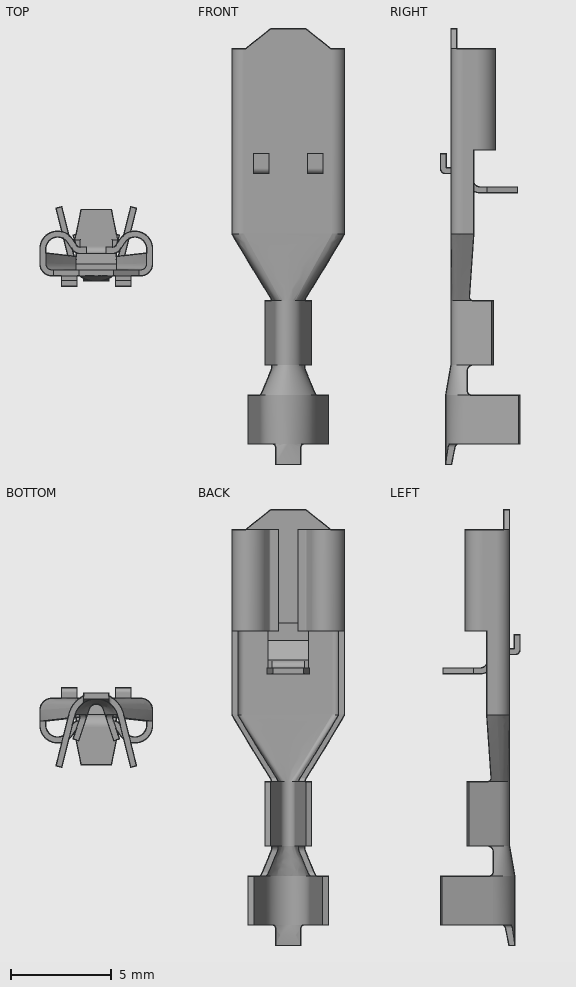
import cadquery as cq
import math


sheet = 0.3

grip_bottom = 1.02
grip_top = 3.43
barrel_bottom = 4.92
barrel_top = 8.12
body_bottom = 11.43
curl_bottom = 15.57
body_top = 20.6
nose_top = 21.6

body_width = 5.6
body_half_width = body_width / 2
body_corner = 0.6
body_wall_top = 1.15
floor_half_width = body_half_width - body_corner
nose_half_base = 2.12
nose_half_tip = 0.86

curl_radius = 0.89
curl_center_y = 1.35
curl_lip_bottom = 1.12
curl_lip_end = 0.48
curl_slope = 56
curl_bend = 0.09

barrel_radius = 0.67
barrel_flare = 18.5
barrel_wing_top = 2.12
barrel_split = 0.37

grip_base = -0.25
grip_radius = 1.4
grip_flare = 14.0
grip_wing_top = 3.43

neck_blank_top = 1.3
front_neck_low = 0.93
front_neck_fillet = 0.17
rear_neck_high = 1.1
rear_neck_low = 0.82
rear_neck_fillet = 0.22

tail_half_width = 0.63
tail_fillet = 0.17

tab_bottom = 13.45
tab_tip_y = 3.3
tab_head_y = 1.8
tab_half_tip = 0.75
tab_half_head = 1.05
tab_half_neck = 0.8
spring_half_width = 1.0
spring_face_y = 1.12
spring_straight_top = 14.15
spring_pad_bottom = 15.12
spring_pad_top = 15.98
spring_bend = 0.32

hook_inner_x = 0.95
hook_width = 0.78
hook_depth = 0.52
hook_bottom = 14.4
hook_top = 15.4
hook_bend = 0.25

trim_half_width = 2 * body_half_width


def channel(z, base, center_x, radius, flare, wall_top, split=None):
    """Closed section of a U channel with flared walls.

    With a split angle the bottom is a floor between two corner arcs that begin
    at that angle from straight down; without one it is a single arc.
    """
    center_y = base + radius
    bend_angle = 90 - flare
    lean = math.radians(flare)

    def on_arc(side, r, angle):
        a = math.radians(angle)
        return side * (center_x + r * math.sin(a)), center_y - r * math.cos(a)

    def bottom(wire, r, side):
        """Follow the bottom at radius r and end on the given side."""
        middle = (0, center_y - r)
        if split is None:
            return wire.threePointArc(middle, on_arc(side, r, bend_angle))
        knee_angle = (split + bend_angle) / 2
        wire = wire.threePointArc(on_arc(-side, r, knee_angle), on_arc(-side, r, split))
        if split == 0:
            wire = wire.lineTo(*on_arc(side, r, split))
        else:
            wire = wire.threePointArc(middle, on_arc(side, r, split))
        return wire.threePointArc(on_arc(side, r, knee_angle), on_arc(side, r, bend_angle))

    inner_radius = radius - sheet
    bend_x, bend_y = on_arc(1, radius, bend_angle)
    tip_y = wall_top - sheet * math.sin(lean)
    tip_x = bend_x + (tip_y - bend_y) * math.tan(lean)
    inner_tip_x = tip_x - sheet * math.cos(lean)

    wire = cq.Workplane("XY", origin=(0, 0, z)).moveTo(-bend_x, bend_y)
    wire = bottom(wire, radius, 1).lineTo(tip_x, tip_y).lineTo(inner_tip_x, wall_top)
    wire = wire.lineTo(*on_arc(1, inner_radius, bend_angle))
    wire = bottom(wire, inner_radius, -1).lineTo(-inner_tip_x, wall_top).lineTo(-tip_x, tip_y)
    return wire.close()


def body_section(z):
    return channel(z, 0, floor_half_width, body_corner, 0, body_wall_top, split=0)


def barrel_section(z, wall_top, split=None):
    return channel(z, 0, 0, barrel_radius, barrel_flare, wall_top, split)


def grip_section(z, wall_top):
    return channel(z, grip_base, 0, grip_radius, grip_flare, wall_top)


def loft(lower, upper):
    wires = [lower.wires().val(), upper.wires().val()]
    return cq.Workplane(cq.Solid.makeLoft(wires, True))


def extrude_across(profile, half_width):
    """Extrude a profile drawn in the YZ plane equally to both sides."""
    return profile.extrude(half_width, both=True)


def make_body():
    channel_walls = body_section(body_bottom).extrude(body_top - body_bottom)
    nose = (
        cq.Workplane("XZ")
        .polyline([
            (-nose_half_base, body_top),
            (nose_half_base, body_top),
            (nose_half_tip, nose_top),
            (-nose_half_tip, nose_top),
        ])
        .close()
        .extrude(-sheet)
    )
    return channel_walls.union(nose)


def make_curl():
    """Rail on the +X side: wall rolled over and down to a lip along the middle."""
    center_x = body_half_width - curl_radius
    slope = math.radians(curl_slope)
    normal = (-math.sin(slope), math.cos(slope))
    lip_top = curl_lip_bottom + sheet
    lip_bend_y = lip_top + curl_bend

    rise = curl_center_y - lip_bend_y
    lip_bend_x = center_x - (curl_radius + curl_bend + rise * normal[1]) / math.sin(slope)

    def on_roll(r, direction=normal):
        return center_x + r * direction[0], curl_center_y + r * direction[1]

    def on_lip(r, direction=normal):
        return lip_bend_x - r * direction[0], lip_bend_y - r * direction[1]

    top = (0, 1)
    half_turn = (-math.sin(slope / 2), math.cos(slope / 2))
    inner = curl_radius - sheet
    outer_lip = curl_bend + sheet
    profile = (
        cq.Workplane("XY", origin=(0, 0, curl_bottom))
        .moveTo(body_half_width, body_corner)
        .lineTo(body_half_width, curl_center_y)
        .threePointArc(on_roll(curl_radius, top), on_roll(curl_radius))
        .lineTo(*on_lip(curl_bend))
        .threePointArc(on_lip(curl_bend, half_turn), on_lip(curl_bend, top))
        .lineTo(curl_lip_end, lip_top)
        .lineTo(curl_lip_end, curl_lip_bottom)
        .lineTo(*on_lip(outer_lip, top))
        .threePointArc(on_lip(outer_lip, half_turn), on_lip(outer_lip))
        .lineTo(*on_roll(inner))
        .threePointArc(on_roll(inner, top), (center_x + inner, curl_center_y))
        .lineTo(center_x + inner, body_corner)
        .close()
    )
    return profile.extrude(body_top - curl_bottom)


def make_front_neck():
    """Taper from the receptacle to the wire barrel, side walls trimmed to a slope."""
    split = math.degrees(math.asin(barrel_split / barrel_radius))
    blank = loft(barrel_section(barrel_top, neck_blank_top, split), body_section(body_bottom))
    fillet_top = barrel_top + front_neck_fillet
    fillet_y = front_neck_low + front_neck_fillet
    trim = (
        cq.Workplane("YZ")
        .moveTo(body_wall_top, body_bottom)
        .lineTo(front_neck_low, fillet_top)
        .radiusArc((fillet_y, barrel_top), -front_neck_fillet)
        .lineTo(2 * neck_blank_top, barrel_top)
        .lineTo(2 * neck_blank_top, body_bottom)
        .close()
    )
    return blank.cut(extrude_across(trim, trim_half_width))


def make_rear_neck():
    """Taper from the wire barrel to the insulation grip, with a hollowed wall edge."""
    blank = loft(grip_section(grip_top, neck_blank_top), barrel_section(barrel_bottom, neck_blank_top))
    dip = rear_neck_high - rear_neck_low
    trim = (
        cq.Workplane("YZ")
        .moveTo(rear_neck_high, barrel_bottom)
        .radiusArc((rear_neck_low, barrel_bottom - dip), -dip)
        .lineTo(rear_neck_low, grip_top + rear_neck_fillet)
        .radiusArc((rear_neck_low + rear_neck_fillet, grip_top), -rear_neck_fillet)
        .lineTo(2 * neck_blank_top, grip_top)
        .lineTo(2 * neck_blank_top, barrel_bottom)
        .close()
    )
    return blank.cut(extrude_across(trim, trim_half_width))


def make_tail():
    """Carrier strip: curved like the grip floor at its root, flat at its end."""
    half = tail_half_width + tail_fillet
    center_y = grip_base + grip_radius
    inner_radius = grip_radius - sheet
    outer_y = center_y - math.sqrt(grip_radius**2 - half**2)
    inner_y = center_y - math.sqrt(inner_radius**2 - half**2)
    root = (
        cq.Workplane("XY", origin=(0, 0, grip_bottom))
        .moveTo(-half, outer_y)
        .threePointArc((0, grip_base), (half, outer_y))
        .lineTo(half, inner_y)
        .threePointArc((0, grip_base + sheet), (-half, inner_y))
        .close()
    )
    flat_end = cq.Workplane("XY", origin=(0, grip_base + sheet / 2, 0)).rect(2 * half, sheet)
    outline = (
        cq.Workplane("XZ")
        .moveTo(-tail_half_width, 0)
        .lineTo(tail_half_width, 0)
        .lineTo(tail_half_width, grip_bottom - tail_fillet)
        .radiusArc((half, grip_bottom), tail_fillet)
        .lineTo(-half, grip_bottom)
        .radiusArc((-tail_half_width, grip_bottom - tail_fillet), tail_fillet)
        .close()
        .extrude(grip_radius, both=True)
    )
    return loft(flat_end, root).intersect(outline)


def make_spring():
    """Spring strip seated on the floor, bent outward into a T-shaped push tab."""
    tab_top = tab_bottom + sheet
    pad_face_y = 2 * sheet
    strip = extrude_across(
        cq.Workplane("YZ")
        .polyline([
            (tab_tip_y, tab_bottom),
            (tab_tip_y, tab_top),
            (spring_face_y, tab_top),
            (spring_face_y, spring_straight_top),
            (pad_face_y, spring_pad_bottom),
            (pad_face_y, spring_pad_top),
            (sheet, spring_pad_top),
            (sheet, spring_pad_bottom),
            (spring_face_y - sheet, spring_straight_top),
            (spring_face_y - sheet, tab_bottom),
        ])
        .close(),
        tab_half_head,
    )
    inside_bend = cq.selectors.NearestToPointSelector((0, spring_face_y, tab_top))
    outside_bend = cq.selectors.NearestToPointSelector((0, spring_face_y - sheet, tab_bottom))
    strip = strip.edges("|X").edges(inside_bend).fillet(spring_bend)
    strip = strip.edges("|X").edges(outside_bend).fillet(spring_bend + sheet)
    half_outline = [
        (spring_half_width, 0),
        (spring_half_width, spring_face_y),
        (tab_half_neck, spring_face_y),
        (tab_half_neck, tab_head_y),
        (tab_half_head, tab_head_y),
        (tab_half_tip, tab_tip_y),
    ]
    other_half = [(-x, y) for x, y in reversed(half_outline)]
    outline = cq.Workplane("XY").polyline(half_outline + other_half).close().extrude(nose_top)
    return strip.intersect(outline)


def make_hook():
    """Upturned hook standing off the back on the +X side."""
    lip_back_y = sheet - hook_depth
    return (
        cq.Workplane("YZ", origin=(hook_inner_x, 0, 0))
        .moveTo(0, hook_bottom)
        .lineTo(hook_bend - hook_depth, hook_bottom)
        .radiusArc((-hook_depth, hook_bottom + hook_bend), hook_bend)
        .lineTo(-hook_depth, hook_top)
        .lineTo(lip_back_y, hook_top)
        .lineTo(lip_back_y, hook_bottom + sheet)
        .lineTo(0, hook_bottom + sheet)
        .close()
        .extrude(hook_width)
    )


result = make_body()
for side_part in (make_curl(), make_hook()):
    result = result.union(side_part).union(side_part.mirror("YZ"))
result = (
    result.union(make_spring())
    .union(make_front_neck())
    .union(barrel_section(barrel_bottom, barrel_wing_top).extrude(barrel_top - barrel_bottom))
    .union(make_rear_neck())
    .union(grip_section(grip_bottom, grip_wing_top).extrude(grip_top - grip_bottom))
    .union(make_tail())
)